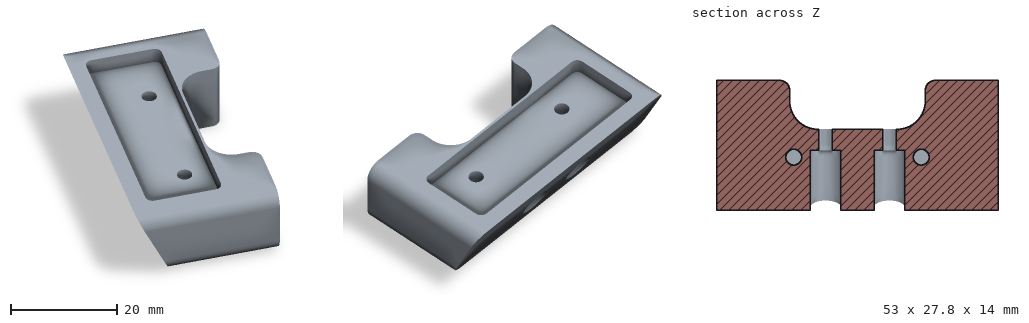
import cadquery as cq
import math

width = 53.0
depth = 27.8
height = 14.0
edge_radius = 3.0
front_lean_angle = 25.0
front_undercut = height * math.tan(math.radians(front_lean_angle))

notch_width = 25.4
notch_depth = 9.2
notch_inner_radius = 5.2
notch_mouth_radius = 2.0

pocket_length = 43.0
pocket_width = 14.8
pocket_depth = 3.2
pocket_corner_radius = 1.4
pocket_wall = 0.5
pocket_floor = height - pocket_depth
pocket_center_y = -(notch_depth + pocket_wall + pocket_width / 2)

pilot_diameter = 2.9
pilot_spacing = 24.0
pilot_y = -14.5
pilot_depth = 6.0

screw_diameter = 3.2
head_diameter = 6.0
screw_spacing = 12.0
screw_z = 6.0
seat_thickness = 4.0
seat_y = -(notch_depth + seat_thickness)


def make_block():
    """Bar with rounded long edges, its front face leaning out towards the top."""
    bar = (
        cq.Workplane("XZ")
        .center(0, height / 2)
        .rect(width, height)
        .extrude(depth)
        .edges("|Y")
        .fillet(edge_radius)
    )
    side_profile = (
        cq.Workplane("YZ")
        .moveTo(0, 0)
        .lineTo(0, height)
        .lineTo(-depth, height)
        .lineTo(-depth + front_undercut, 0)
        .close()
        .extrude(width / 2, both=True)
    )
    return bar.intersect(side_profile)


def cut_notch(body):
    """Full-height notch with rounded inner corners and a rounded mouth."""
    notch = (
        cq.Workplane("XY")
        .rect(notch_width, 2 * notch_depth)
        .extrude(height)
        .edges("|Z")
        .fillet(notch_inner_radius)
    )
    body = body.cut(notch)
    mouth_points = [(side * notch_width / 2, 0, height / 2) for side in (-1, 1)]
    for point in mouth_points:
        mouth_edge = cq.selectors.NearestToPointSelector(point)
        body = body.edges("|Z").edges(mouth_edge).fillet(notch_mouth_radius)
    return body


def cut_pocket(body):
    """Rectangular pocket in the top with rounded corners."""
    pocket = (
        cq.Workplane("XY", origin=(0, pocket_center_y, pocket_floor))
        .rect(pocket_length, pocket_width)
        .extrude(pocket_depth)
        .edges("|Z")
        .fillet(pocket_corner_radius)
    )
    return body.cut(pocket)


def cut_pilot_holes(body):
    """Pair of blind holes in the pocket floor."""
    holes = (
        cq.Workplane("XY", origin=(0, pilot_y, pocket_floor))
        .pushPoints([(-pilot_spacing / 2, 0), (pilot_spacing / 2, 0)])
        .circle(pilot_diameter / 2)
        .extrude(-pilot_depth)
    )
    return body.cut(holes)


def cut_screw_holes(body):
    """Pair of counterbored holes along Y, each seat square to the hole axis."""
    screw_points = [(-screw_spacing / 2, 0), (screw_spacing / 2, 0)]
    shanks = (
        cq.Workplane("XZ", origin=(0, 0, screw_z))
        .pushPoints(screw_points)
        .circle(screw_diameter / 2)
        .extrude(depth)
    )
    heads = (
        cq.Workplane("XZ", origin=(0, seat_y, screw_z))
        .pushPoints(screw_points)
        .circle(head_diameter / 2)
        .extrude(depth + seat_y)
    )
    return body.cut(shanks).cut(heads)


result = make_block()
result = cut_notch(result)
result = cut_pocket(result)
result = cut_pilot_holes(result)
result = cut_screw_holes(result)